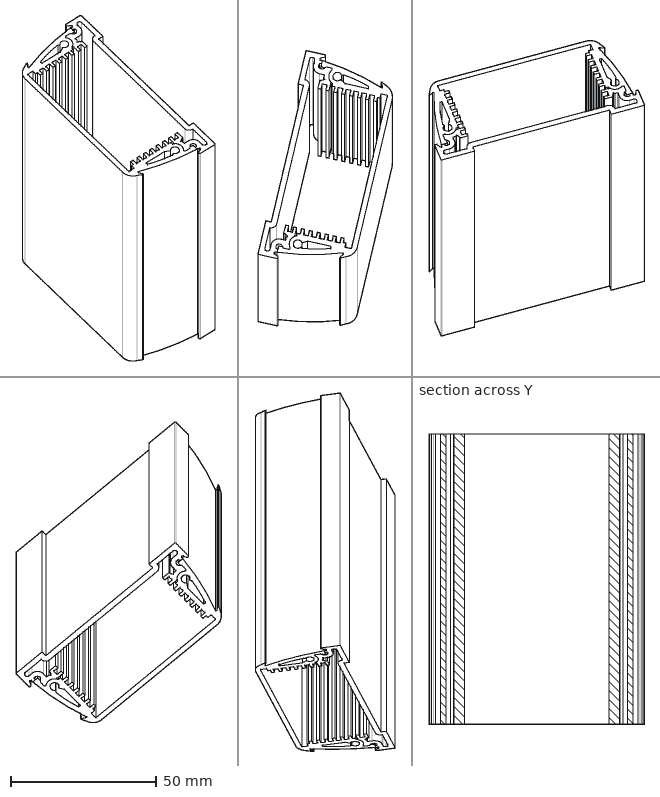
import cadquery as cq
import math


length = 100.0
half_width = 37.0
height = 32.8

fin_pitch = 2.8
fin_thickness = 1.1
fin_tip_x = 24.8
fin_root_x = 26.7
first_fin_top = 25.8
lid_fin_count = 2
tray_fin_count = 6
last_fin_top = first_fin_top - (lid_fin_count + tray_fin_count - 1) * fin_pitch

sheet = 1.9
panel_top = height - sheet
panel_thickness = 2.05
panel_bottom = panel_top - panel_thickness
strip_inner_x = 24.8
bend_radius = 2.1
skirt_bottom = 25.8
skirt_tip_width = 0.8
skirt_edge_radius = 0.3
groove_start = (35.6, 27.1)
groove_crown = (35.2, 27.45)
groove_end_y = 27.2

undercut_end_x = half_width - sheet
undercut_corner_radius = 0.8
shelf_top = 29.1

arm_inner_x = 30.0
arm_bend_radius = 2.7
foot_top = 24.7
foot_groove_x = 28.5
foot_groove_depth = 0.5
foot_groove_start_x = 28.9
lid_fin_ramp_x = 27.5

rib_outer_x = 34.8
rib_inner_x = 33.7
rib_bottom = 26.5

pocket_inner_x = 31.8
pocket_side_y = 26.3
pocket_start_x = 33.5
pocket_start_y = 27.2
pocket_bottom_x = 32.4
pocket_bottom = 25.2

catch_x = 32.9
catch_top = 24.7
toe_bottom = 22.5
toe_radius = 0.4
head_x = 30.4
head_y = 20.2
head_radius = 2.95
lid_bottom = first_fin_top - fin_pitch - fin_thickness
wall_top = 21.3

floor_thickness = 1.9
corner_radius = 4.5
corner_x = 26.75
inner_wall_x = 27.8
ledge_x = 26.3
ledge_bottom = 4.2
lip_tip_x = 31.9
lip_tip_y = 5.1
lip_tip_flat = 0.4
lip_start_angle = math.radians(70)
lip_mid_x = 31.2
lip_mid_y = 4.7
lip_root_x = 30.4
skin_foot_x = 29.9
lip_root_y = 4.2
skin_mid_x = 33.25
skin_mid_y = 15.9
tip_inner_x = 32.6

screw_radius = 1.5
neck_y = 18.8
neck_half_width = 0.75
cavity_inner_x = 28.6
cavity_inner_top = 17.1
cavity_outer_x = 31.5
cavity_outer_top = 18.2
cavity_mid_x = 30.85
cavity_mid_y = 14.2
cavity_bottom = 8.9
cavity_bottom_outer_x = 29.4


def head_point(y, side):
    """Point of the round head at the given height; side is +1 outwards, -1 inwards."""
    return (head_x + side * math.sqrt(head_radius**2 - (y - head_y) ** 2), y)


def arc_inset(radius):
    """Distance along each side from a square corner to the middle of its rounding arc."""
    return radius * (1 - math.sqrt(0.5))


def corner_point(angle):
    """Point of the rounded tray corner, turned by the given angle from the floor."""
    return (
        corner_x + corner_radius * math.sin(angle),
        corner_radius * (1 - math.cos(angle)),
    )


def draw_seam(outline):
    """Draw the contact line shared by lid and tray, starting from the top of the catch face."""
    diagonal = arc_inset(toe_radius)
    return (
        outline.lineTo(catch_x, toe_bottom + toe_radius)
        .threePointArc(
            (catch_x - diagonal, toe_bottom + diagonal),
            (catch_x - toe_radius, toe_bottom),
        )
        .lineTo(*head_point(toe_bottom, 1))
        .threePointArc((head_x, head_y + head_radius), head_point(lid_bottom, -1))
    )


def extrude(outline):
    """Close an outline and extrude it over the full length."""
    return outline.close().extrude(length)


def add_fins(half, first, count):
    """Add guide fins to a half body, each reaching from the wall to the fin tips."""
    for index in range(first, first + count):
        top = first_fin_top - index * fin_pitch
        fin = (
            cq.Workplane("XY")
            .moveTo(fin_tip_x, top)
            .lineTo(fin_root_x + fin_thickness, top)
            .lineTo(fin_root_x + fin_thickness, top - fin_thickness)
            .lineTo(fin_tip_x, top - fin_thickness)
        )
        half = half.union(extrude(fin))
    return half


def mirrored(half):
    """Join a half body with its mirror image into one solid."""
    return half.union(half.mirror("YZ")).clean().solids()


def make_lid():
    edge_diagonal = arc_inset(skirt_edge_radius)
    outline = (
        cq.Workplane("XY")
        .moveTo(0, panel_top)
        .lineTo(strip_inner_x, panel_top)
        .lineTo(strip_inner_x, height)
        .lineTo(half_width - skirt_edge_radius, height)
        .threePointArc(
            (half_width - edge_diagonal, height - edge_diagonal),
            (half_width, height - skirt_edge_radius),
        )
        .lineTo(half_width, skirt_bottom + skirt_edge_radius)
        .threePointArc(
            (half_width - edge_diagonal, skirt_bottom + edge_diagonal),
            (half_width - skirt_edge_radius, skirt_bottom),
        )
        .lineTo(half_width - skirt_tip_width, skirt_bottom)
        .lineTo(*groove_start)
        .threePointArc(groove_crown, (rib_outer_x, groove_end_y))
        .lineTo(rib_outer_x, rib_bottom)
        .lineTo(rib_inner_x, rib_bottom)
    )
    outline = (
        outline.lineTo(pocket_start_x, pocket_start_y)
        .threePointArc((pocket_inner_x, pocket_side_y), (pocket_bottom_x, pocket_bottom))
        .lineTo(catch_x, catch_top)
    )
    outline = draw_seam(outline)
    arm_diagonal = arc_inset(arm_bend_radius)
    outline = (
        outline.lineTo(fin_root_x, lid_bottom)
        .lineTo(fin_root_x, first_fin_top)
        .lineTo(lid_fin_ramp_x, first_fin_top)
        .lineTo(foot_groove_x, foot_top - foot_groove_depth)
        .lineTo(foot_groove_start_x, foot_top)
        .lineTo(arm_inner_x, foot_top)
        .lineTo(arm_inner_x, shelf_top - arm_bend_radius)
        .threePointArc(
            (arm_inner_x + arm_diagonal, shelf_top - arm_diagonal),
            (arm_inner_x + arm_bend_radius, shelf_top),
        )
    )
    corner_diagonal = arc_inset(undercut_corner_radius)
    bend_end_x = strip_inner_x + math.sqrt(bend_radius**2 - panel_thickness**2)
    bend_diagonal = bend_radius * math.sqrt(0.5)
    outline = (
        outline.lineTo(undercut_end_x - undercut_corner_radius, shelf_top)
        .threePointArc(
            (undercut_end_x - corner_diagonal, shelf_top + corner_diagonal),
            (undercut_end_x, shelf_top + undercut_corner_radius),
        )
        .lineTo(undercut_end_x, panel_top - undercut_corner_radius)
        .threePointArc(
            (undercut_end_x - corner_diagonal, panel_top - corner_diagonal),
            (undercut_end_x - undercut_corner_radius, panel_top),
        )
        .lineTo(strip_inner_x + bend_radius, panel_top)
        .threePointArc(
            (strip_inner_x + bend_diagonal, panel_top - bend_diagonal),
            (bend_end_x, panel_bottom),
        )
        .lineTo(0, panel_bottom)
    )
    return mirrored(add_fins(extrude(outline), 0, lid_fin_count))


def make_keyhole():
    """Cavity of the side wall: a round screw channel opening into a tapered void."""
    void = (
        cq.Workplane("XY")
        .moveTo(head_x - neck_half_width, head_y)
        .lineTo(head_x - neck_half_width, neck_y)
        .lineTo(cavity_inner_x, cavity_inner_top)
        .lineTo(cavity_inner_x, cavity_bottom)
        .lineTo(cavity_bottom_outer_x, cavity_bottom)
        .threePointArc((cavity_mid_x, cavity_mid_y), (cavity_outer_x, cavity_outer_top))
        .lineTo(head_x + neck_half_width, neck_y)
        .lineTo(head_x + neck_half_width, head_y)
    )
    channel = cq.Workplane("XY").center(head_x, head_y).circle(screw_radius).extrude(length)
    return extrude(void).union(channel)


def make_tray():
    outline = (
        cq.Workplane("XY")
        .moveTo(0, 0)
        .lineTo(corner_x, 0)
        .threePointArc(corner_point(lip_start_angle / 2), corner_point(lip_start_angle))
        .lineTo(lip_tip_x, lip_tip_y - lip_tip_flat)
        .lineTo(lip_tip_x, lip_tip_y)
        .threePointArc((lip_mid_x, lip_mid_y), (lip_root_x, lip_root_y))
        .lineTo(skin_foot_x, lip_root_y)
    )
    outline = (
        outline.threePointArc((skin_mid_x, skin_mid_y), (rib_outer_x, rib_bottom))
        .lineTo(tip_inner_x, rib_bottom)
        .lineTo(pocket_bottom_x, pocket_bottom)
        .lineTo(catch_x, catch_top)
    )
    outline = draw_seam(outline)
    outline = (
        outline.lineTo(*head_point(wall_top, -1))
        .lineTo(fin_root_x, wall_top)
        .lineTo(fin_root_x, last_fin_top)
        .lineTo(ledge_x, last_fin_top)
        .lineTo(ledge_x, ledge_bottom)
        .lineTo(inner_wall_x, ledge_bottom)
        .lineTo(inner_wall_x, floor_thickness)
        .lineTo(0, floor_thickness)
    )
    half = extrude(outline).cut(make_keyhole())
    return mirrored(add_fins(half, lid_fin_count, tray_fin_count))


lid = make_lid()
tray = make_tray()
result = cq.Compound.makeCompound([lid.val(), tray.val()])